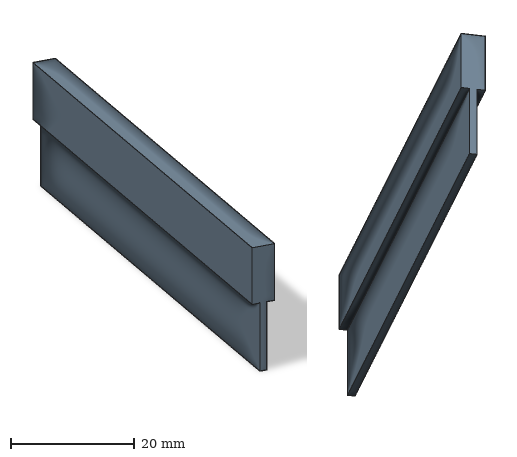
import cadquery as cq

length = 84.0
total_height = 22.0

bar_thickness = 4.0
bar_height = 10.0

blade_thickness = 1.3
blade_height = total_height - bar_height


def centred_plate(thickness, height, bottom):
    """Full-length plate, centred in X and Y, standing on the given Z level."""
    plate = cq.Workplane("XY").box(length, thickness, height, centered=(True, True, False))
    return plate.translate((0, 0, bottom))


blade = centred_plate(blade_thickness, blade_height, 0)
bar = centred_plate(bar_thickness, bar_height, blade_height)

result = blade.union(bar)